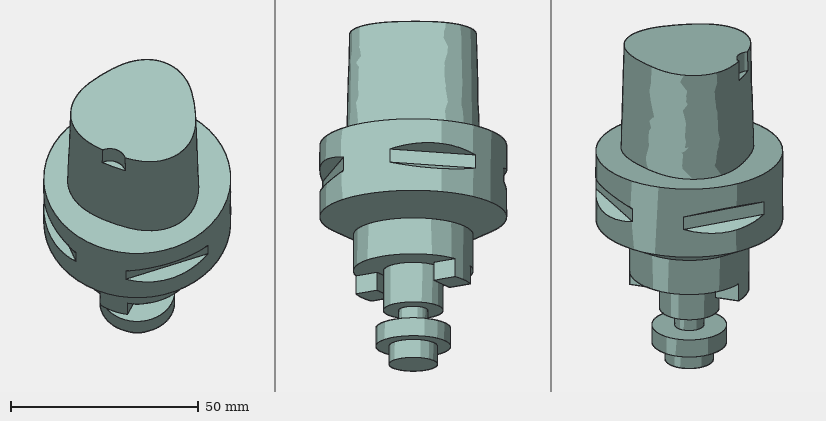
import cadquery as cq
import math

end_diameter = 13.0
flange_diameter = 20
neck_diameter = 7.8
spigot_diameter = 16.0
hub_diameter = 32.0
body_diameter = 50.0

end_top = 5.0
flange_top = 10
neck_top = 15.0
hub_bottom = 26.0
hub_top = 36.0
cone_top = 41.0
body_top = 61
total_height = 91

shank_base_radius = 17.5
shank_top_radius = 16.65
lobe_height = 1.2
points_per_lobe = 8

notch_radius = 4.3
notch_depth = 5.55
notch_inner_y = -13.8

groove_count = 4
groove_center_z = 51
groove_floor_height = 3.6
groove_floor_distance = 22.0
groove_flank_angle = 30
groove_clearance = 0.9

key_width = 8.0
key_height = 5.0
key_inner_distance = 8.9


def make_stepped_body():
    """Revolved half profile of all round steps below the shank."""
    end_r, flange_r, neck_r, spigot_r, hub_r, body_r = (
        diameter / 2
        for diameter in (
            end_diameter, flange_diameter, neck_diameter,
            spigot_diameter, hub_diameter, body_diameter,
        )
    )
    profile = [
        (0, 0), (end_r, 0), (end_r, end_top),
        (flange_r, end_top), (flange_r, flange_top),
        (neck_r, flange_top), (neck_r, neck_top),
        (spigot_r, neck_top), (spigot_r, hub_bottom),
        (hub_r, hub_bottom), (hub_r, hub_top),
        (body_r, cone_top), (body_r, body_top), (0, body_top),
    ]
    return cq.Workplane("XZ").polyline(profile).close().revolve(360, (0, 0), (0, 1))


def lobed_wire(mean_radius, z):
    """Closed smooth three-lobed outline with one lobe pointing to +Y."""
    count = 3 * points_per_lobe
    points = []
    for i in range(count):
        angle = 2 * math.pi * i / count
        radius = mean_radius + lobe_height * math.cos(3 * angle)
        points.append(cq.Vector(-radius * math.sin(angle), radius * math.cos(angle), z))
    return cq.Wire.assembleEdges([cq.Edge.makeSpline(points, periodic=True)])


def make_shank():
    base = lobed_wire(shank_base_radius, body_top)
    top = lobed_wire(shank_top_radius, total_height)
    return cq.Workplane(obj=cq.Solid.makeLoft([base, top], True))


def make_notch():
    return (
        cq.Workplane("XY", origin=(0, 0, total_height - notch_depth))
        .center(0, notch_inner_y - notch_radius)
        .circle(notch_radius)
        .extrude(notch_depth)
    )


def make_groove():
    """Cutter with a flat floor and flanks that spread outwards, facing +X."""
    cut_depth = body_diameter / 2 - groove_floor_distance + groove_clearance
    floor_half = groove_floor_height / 2
    mouth_half = floor_half + cut_depth * math.tan(math.radians(groove_flank_angle))
    floor_x = groove_floor_distance
    mouth_x = floor_x + cut_depth
    return (
        cq.Workplane("XZ", origin=(0, 0, groove_center_z))
        .polyline([
            (floor_x, -floor_half), (mouth_x, -mouth_half),
            (mouth_x, mouth_half), (floor_x, floor_half),
        ])
        .close()
        .extrude(body_diameter / 2, both=True)
    )


def make_keys():
    """Two opposite keys on the Y axis, flush with the hub."""
    hub_radius = hub_diameter / 2
    key_length = hub_radius - key_inner_distance
    key_middle = key_inner_distance + key_length / 2
    blocks = (
        cq.Workplane("XY", origin=(0, 0, hub_bottom - key_height))
        .pushPoints([(0, key_middle), (0, -key_middle)])
        .rect(key_width, key_length)
        .extrude(key_height)
    )
    hub_cylinder = (
        cq.Workplane("XY", origin=(0, 0, hub_bottom - key_height))
        .circle(hub_radius)
        .extrude(key_height)
    )
    return blocks.intersect(hub_cylinder)


result = make_stepped_body().union(make_shank().cut(make_notch())).union(make_keys())
for i in range(groove_count):
    groove_angle = (i + 0.5) * 360 / groove_count
    result = result.cut(make_groove().rotate((0, 0, 0), (0, 0, 1), groove_angle))